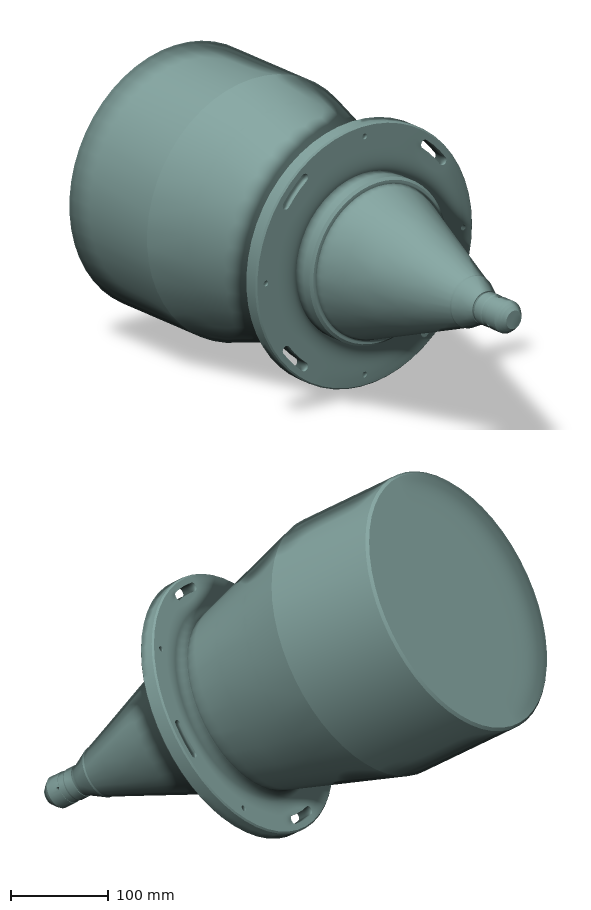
import cadquery as cq
import math

total_length = 549.5

drum_diameter = 286.0
drum_radius = drum_diameter / 2
drum_length = 129.0
drum_chamfer = 3.0

rear_cone_end = 278.0
rear_cone_end_radius = 100.5
neck_radius = 100.0
neck_start = 279.5

flange_front = 289.0
flange_thickness = 17.5
flange_chamfer = 1.5
flange_back = flange_front + flange_thickness
root_fillet = 7.5
flange_hole_circle_radius = 130.0

slot_count = 4
slot_width = 9.5
slot_half_sweep = 7.5
slot_first_angle = 45.0
hole_count = 4
hole_diameter = 6.0

collar_diameter = 180.5
collar_radius = collar_diameter / 2
collar_end = 331.0
collar_chamfer = 3.0

front_cone_radius = 83.5
front_cone_end = 480.0
shoulder_start = 482.5
shoulder_radius = 28.0

stud_radius = 17.5
stud_groove_start = 503.0
stud_groove_end = 506.5
stud_groove_depth = 1.0
band_start = 516.5
band_floor_start = 518.0
band_end = 524.5
band_depth = 0.5
stud_chamfer_start = 539.5
stud_end = 542.5
stud_end_radius = 15.5

tip_start = 545.5
tip_base_radius = 13.0
tip_chamfer = 3.5

stud_hole_count = 3
stud_hole_diameter = 3.5
stud_hole_depth = 4.5
stud_hole_station = band_end + stud_hole_diameter / 2


def revolved_body():
    """Solid of revolution about the X axis."""
    fillet_center_radius = neck_radius + root_fillet
    fillet_start = flange_front - root_fillet
    diagonal = root_fillet * math.sqrt(0.5)
    profile = (
        cq.Workplane("XY")
        .moveTo(0, 0)
        .lineTo(0, drum_radius - drum_chamfer)
        .lineTo(drum_chamfer, drum_radius)
        .lineTo(drum_length, drum_radius)
        .lineTo(rear_cone_end, rear_cone_end_radius)
        .lineTo(neck_start, neck_radius)
        .lineTo(fillet_start, neck_radius)
        .threePointArc(
            (fillet_start + diagonal, fillet_center_radius - diagonal),
            (flange_front, fillet_center_radius),
        )
        .lineTo(flange_front, drum_radius - flange_chamfer)
        .lineTo(flange_front + flange_chamfer, drum_radius)
        .lineTo(flange_back - flange_chamfer, drum_radius)
        .lineTo(flange_back, drum_radius - flange_chamfer)
        .lineTo(flange_back, collar_radius)
        .lineTo(collar_end - collar_chamfer, collar_radius)
        .lineTo(collar_end, collar_radius - collar_chamfer)
        .lineTo(collar_end, front_cone_radius)
        .lineTo(front_cone_end, shoulder_radius)
        .lineTo(shoulder_start, shoulder_radius)
        .lineTo(stud_groove_start, stud_radius)
        .lineTo(stud_groove_start, stud_radius - stud_groove_depth)
        .lineTo(stud_groove_end, stud_radius - stud_groove_depth)
        .lineTo(stud_groove_end, stud_radius)
        .lineTo(band_start, stud_radius)
        .lineTo(band_floor_start, stud_radius - band_depth)
        .lineTo(band_end, stud_radius - band_depth)
        .lineTo(band_end, stud_radius)
        .lineTo(stud_chamfer_start, stud_radius)
        .lineTo(stud_end, stud_end_radius)
        .lineTo(tip_start, tip_base_radius)
        .lineTo(tip_start + tip_chamfer, tip_base_radius - tip_chamfer)
        .lineTo(total_length, tip_base_radius - tip_chamfer)
        .lineTo(total_length, 0)
        .close()
    )
    return profile.revolve(360, (0, 0, 0), (1, 0, 0))


def polar(radius, angle):
    """Point in the YZ plane, with the angle in degrees from +Y towards +Z."""
    return radius * math.cos(math.radians(angle)), radius * math.sin(math.radians(angle))


def arc_slot(angle):
    """Round-ended arc slot through the flange, centred on the given angle."""
    inner = flange_hole_circle_radius - slot_width / 2
    outer = flange_hole_circle_radius + slot_width / 2
    start = angle - slot_half_sweep
    end = angle + slot_half_sweep
    cap_sweep = math.degrees(slot_width / 2 / flange_hole_circle_radius)
    return (
        cq.Workplane("YZ", origin=(flange_front, 0, 0))
        .moveTo(*polar(inner, start))
        .threePointArc(polar(inner, angle), polar(inner, end))
        .threePointArc(polar(flange_hole_circle_radius, end + cap_sweep), polar(outer, end))
        .threePointArc(polar(outer, angle), polar(outer, start))
        .threePointArc(polar(flange_hole_circle_radius, start - cap_sweep), polar(inner, start))
        .close()
        .extrude(flange_thickness)
    )


def flange_holes():
    """Small through holes on the same circle as the slots."""
    return (
        cq.Workplane("YZ", origin=(flange_front, 0, 0))
        .polarArray(flange_hole_circle_radius, 0, 360, hole_count)
        .circle(hole_diameter / 2)
        .extrude(flange_thickness)
    )


def stud_hole(angle):
    """Radial blind hole in the stud; an angle of zero points to +Z."""
    return (
        cq.Workplane("XY", origin=(stud_hole_station, 0, stud_radius - stud_hole_depth))
        .circle(stud_hole_diameter / 2)
        .extrude(2 * stud_hole_depth)
        .rotate((0, 0, 0), (1, 0, 0), angle)
    )


result = revolved_body()
for i in range(slot_count):
    result = result.cut(arc_slot(slot_first_angle + i * 360 / slot_count))
result = result.cut(flange_holes())
for i in range(stud_hole_count):
    result = result.cut(stud_hole(i * 360 / stud_hole_count))